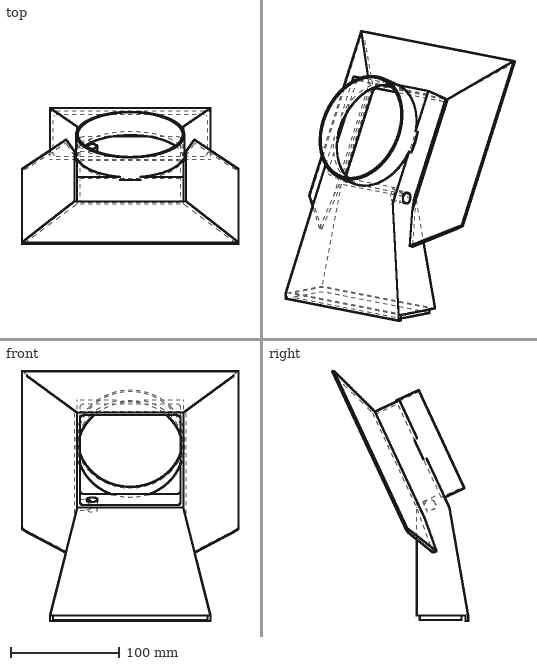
import cadquery as cq
import math

overall_width = 200.0
overall_height = 231.0

base_width = 148.3
base_depth = 47.5
pedestal_bottom = 5.0
pedestal_top = 104.6

plug_width = 142.3
plug_front = 2.8
plug_back = 41.5
plug_height = 4.2
plug_corner_radius = 3.5
strip_thickness = 2.8

tilt = 25
housing_width = 98.0
housing_height = 96.8
housing_depth = 27.5
housing_wall = 2.5
back_wall = 3.0
pocket_corner_radius = 3.5

ring_diameter = 100.0
ring_bore = 97.0
ring_length = 20.0
ring_top_rise = 1.0

hood_depth = 17.5
hood_thickness = 2.5
hood_rim_width = 7.0
hood_edge = 1.6
hood_side_step = 2.5
hood_skirt = 69.3
skirt_corner_drop = 13.5
skirt_trim_angle = 37

duct_diameter = 10.0
duct_x = -35.0
duct_y = 12.2
duct_z = 107.2

tilt_cos = math.cos(math.radians(tilt))
tilt_sin = math.sin(math.radians(tilt))
pedestal_top_depth = housing_depth / tilt_cos
ring_center = housing_height + ring_top_rise - ring_diameter / 2
half_width = housing_width / 2
hood_half_width = overall_width / 2

hood_edge_start = hood_depth - hood_edge
hood_top = (overall_height - pedestal_top + hood_edge_start * tilt_sin) / tilt_cos
hood_reach = hood_top - housing_height


def tilted(offset=0):
    """Workplane parallel to the housing front; its normal points out of the opening."""
    front = cq.Plane(origin=(0, 0, pedestal_top), xDir=(1, 0, 0), normal=(0, -tilt_cos, -tilt_sin))
    return cq.Workplane(front).workplane(offset=offset)


def rectangle(work, half, bottom, top):
    """Rectangle centered across the width, keeping the workplane origin in place."""
    return work.center(0, (top + bottom) / 2).rect(2 * half, top - bottom).center(0, -(top + bottom) / 2)


def frustum(back, front, back_half, front_half, back_top, front_top):
    """Solid flaring to both sides and the top, with a flat underside."""
    section = rectangle(tilted(back), back_half, -hood_skirt, back_top)
    section = rectangle(section.workplane(offset=front - back), front_half, -hood_skirt, front_top)
    return section.loft(ruled=True, combine=True)


def make_pedestal():
    top_center = pedestal_top_depth / 2 - base_depth / 2
    body = (
        cq.Workplane("XY", origin=(0, base_depth / 2, pedestal_bottom))
        .rect(base_width, base_depth)
        .workplane(offset=pedestal_top - pedestal_bottom)
        .center(0, top_center)
        .rect(housing_width, pedestal_top_depth)
        .loft(ruled=True, combine=True)
    )
    plug = (
        cq.Workplane("XY", origin=(0, (plug_front + plug_back) / 2, pedestal_bottom))
        .rect(plug_width, plug_back - plug_front)
        .extrude(-plug_height)
        .edges("|Z")
        .fillet(plug_corner_radius)
    )
    strip = (
        cq.Workplane("XY", origin=(0, base_depth - strip_thickness / 2, 0))
        .rect(base_width, strip_thickness)
        .extrude(pedestal_bottom)
    )
    return body.union(plug).union(strip)


def make_housing():
    top_y = -housing_height * tilt_sin
    top_z = pedestal_top + housing_height * tilt_cos
    profile = [
        (0, pedestal_top),
        (pedestal_top_depth, pedestal_top),
        (top_y + housing_depth * tilt_cos, top_z + housing_depth * tilt_sin),
        (top_y, top_z),
    ]
    block = cq.Workplane("YZ").polyline(profile).close().extrude(half_width, both=True)
    ring = (
        tilted(-housing_depth - ring_length)
        .center(0, ring_center)
        .circle(ring_diameter / 2)
        .extrude(ring_length + back_wall)
    )
    return block.union(ring)


def flare_points(reach):
    """Start of the rim rounding, as distance outward and forward from the opening.

    The rounding is an arc tangent to the flare and, at the outer edge, to the rim plane.
    """
    flare_angle = math.atan2(hood_depth, reach - hood_rim_width / 2)
    start_reach = reach - hood_rim_width
    return start_reach, start_reach * math.tan(flare_angle)


def make_flare():
    """Space inside the hood: side flares and top flare meeting in mitered corners."""
    side_reach, side_depth = flare_points(hood_half_width - half_width)
    side_plane = cq.Plane(
        origin=(0, 0, pedestal_top), xDir=(1, 0, 0), normal=(0, tilt_sin, -tilt_cos)
    )
    sides = (
        cq.Workplane(side_plane)
        .moveTo(0, 0)
        .lineTo(half_width, 0)
        .lineTo(half_width + side_reach, side_depth)
        .tangentArcPoint((hood_half_width, hood_depth), relative=False)
        .lineTo(0, hood_depth)
        .close()
        .extrude(2 * hood_top, both=True)
    )
    sides = sides.union(sides.mirror("YZ"))

    top_reach, top_depth = flare_points(hood_reach)
    top_plane = cq.Plane(
        origin=(0, 0, pedestal_top), xDir=(0, -tilt_sin, tilt_cos), normal=(1, 0, 0)
    )
    top = (
        cq.Workplane(top_plane)
        .moveTo(-hood_skirt, 0)
        .lineTo(housing_height, 0)
        .lineTo(housing_height + top_reach, top_depth)
        .tangentArcPoint((hood_top, hood_depth), relative=False)
        .lineTo(-hood_skirt, hood_depth)
        .close()
        .extrude(hood_half_width, both=True)
    )
    return sides.intersect(top)


def make_hood():
    back_half = half_width + hood_side_step
    outside = frustum(-hood_thickness, hood_edge_start, back_half, hood_half_width, housing_height, hood_top)
    edge = rectangle(tilted(hood_edge_start), hood_half_width, -hood_skirt, hood_top).extrude(hood_edge)
    inside = make_flare()
    opening = rectangle(tilted(-hood_thickness), half_width, -hood_skirt, housing_height).extrude(hood_thickness)

    corner_level = -skirt_corner_drop
    center_level = corner_level - hood_half_width * math.tan(math.radians(skirt_trim_angle))
    outline = [
        (-hood_half_width, hood_top),
        (-hood_half_width, corner_level),
        (0, center_level),
        (hood_half_width, corner_level),
        (hood_half_width, hood_top),
    ]
    trim = tilted(-hood_thickness).polyline(outline).close().extrude(hood_depth + hood_thickness)
    return outside.union(edge).cut(inside).cut(opening).intersect(trim)


def make_openings():
    pocket = (
        rectangle(tilted(), half_width - housing_wall, housing_wall, housing_height - housing_wall)
        .extrude(back_wall - housing_depth)
        .edges(cq.selectors.ParallelDirSelector(cq.Vector(0, tilt_cos, tilt_sin)))
        .fillet(pocket_corner_radius)
    )
    bore = (
        tilted(-housing_depth - ring_length)
        .center(0, ring_center)
        .circle(ring_bore / 2)
        .extrude(ring_length + back_wall)
    )
    return pocket.union(bore)


def make_duct():
    side_run = (
        cq.Workplane("YZ", origin=(duct_x, duct_y, duct_z)).circle(duct_diameter / 2).extrude(-half_width)
    )
    riser_plane = cq.Plane(
        origin=(duct_x, duct_y, duct_z), xDir=(1, 0, 0), normal=(0, -tilt_sin, tilt_cos)
    )
    riser = (
        cq.Workplane(riser_plane)
        .workplane(offset=-duct_diameter / 2)
        .circle(duct_diameter / 2)
        .extrude(2 * duct_diameter)
    )
    return side_run.union(riser)


result = make_pedestal().union(make_housing()).union(make_hood()).cut(make_openings()).cut(make_duct())